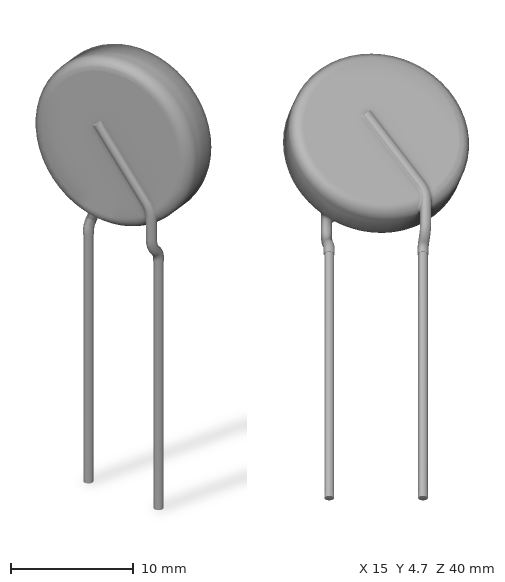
import cadquery as cq
import math

DISC_DIAMETER = 15.0
DISC_THICKNESS = 4.2
DISC_EDGE_RADIUS = 1.0

OVERALL_DEPTH = 4.7
OVERALL_HEIGHT = 40.0
LEAD_BOTTOM_Z = DISC_DIAMETER / 2 - OVERALL_HEIGHT

COATED_DIAMETER = 0.9
BARE_DIAMETER = 0.8
LEAD_PITCH = 7.5
LEAD_X = LEAD_PITCH / 2
UPPER_WIRE_Y = -(OVERALL_DEPTH - COATED_DIAMETER) / 2
LOWER_WIRE_Y = -0.75

SLANT_ANGLE = math.radians(37.0)
SLANT_LENGTH = 8.25
SLANT_CORNER_Z = -5.05
SLANT_BEND_RADIUS = 2.2

OFFSET_TOP_Z = -7.7
OFFSET_HEIGHT = 2.25
OFFSET_UPPER_SHARE = 0.59
COATING_TAIL = 0.2

COATING_FILLET_RADIUS = 0.2


def make_disc():
    return (
        cq.Workplane("XZ", origin=(0, DISC_THICKNESS / 2, 0))
        .circle(DISC_DIAMETER / 2)
        .extrude(DISC_THICKNESS)
        .edges()
        .fillet(DISC_EDGE_RADIUS)
    )


def make_coated_wire(tip, path):
    """Sweep the coated wire along a path that starts at tip, heading down the slant."""
    heading = cq.Vector(math.sin(SLANT_ANGLE), 0, -math.cos(SLANT_ANGLE))
    start_plane = cq.Plane(origin=tip, xDir=(0, 1, 0), normal=heading)
    return cq.Workplane(start_plane).circle(COATED_DIAMETER / 2).sweep(path)


def slant_point(distance):
    """Point on the slanted axis at a distance from the sharp corner of the bend."""
    return cq.Vector(
        LEAD_X - distance * math.sin(SLANT_ANGLE),
        UPPER_WIRE_Y,
        SLANT_CORNER_Z + distance * math.cos(SLANT_ANGLE),
    )


def make_lead():
    """Front lead: slanted stretch, bend, S-shaped offset and straight bare leg."""
    tip = slant_point(SLANT_LENGTH)
    bend_tangent = SLANT_BEND_RADIUS * math.tan(SLANT_ANGLE / 2)
    bend_start = slant_point(bend_tangent)
    bend_end = cq.Vector(LEAD_X, UPPER_WIRE_Y, SLANT_CORNER_Z - bend_tangent)
    slant_direction = bend_start - tip

    offset_top = cq.Vector(LEAD_X, UPPER_WIRE_Y, OFFSET_TOP_Z)
    offset_bottom = cq.Vector(LEAD_X, LOWER_WIRE_Y, OFFSET_TOP_Z - OFFSET_HEIGHT)
    offset_middle = offset_top + (offset_bottom - offset_top) * OFFSET_UPPER_SHARE
    turn_angle = 2 * math.atan2(LOWER_WIRE_Y - UPPER_WIRE_Y, OFFSET_HEIGHT)
    down = cq.Vector(0, 0, -1)
    inward = cq.Vector(0, math.sin(turn_angle), -math.cos(turn_angle))
    coating_end = offset_bottom + down * COATING_TAIL

    path = cq.Wire.assembleEdges([
        cq.Edge.makeLine(tip, bend_start),
        cq.Edge.makeTangentArc(bend_start, slant_direction, bend_end),
        cq.Edge.makeLine(bend_end, offset_top),
        cq.Edge.makeTangentArc(offset_top, down, offset_middle),
        cq.Edge.makeTangentArc(offset_middle, inward, offset_bottom),
        cq.Edge.makeLine(offset_bottom, coating_end),
    ])
    coated_wire = make_coated_wire(tip, path)

    bare_leg = (
        cq.Workplane("XY", origin=coating_end.toTuple())
        .circle(BARE_DIAMETER / 2)
        .extrude(LEAD_BOTTOM_Z - coating_end.z)
    )
    return coated_wire.union(bare_leg)


def blend_wires_into_disc(part):
    """Concave coating fillet around both wires where they rise from the disc.

    The straight edges of the flat disc faces are the wire outlines; the fillet
    runs on from them along the tangent edges, round the bend and over the rim.
    """
    return part.faces("|Y").edges("%LINE").fillet(COATING_FILLET_RADIUS)


front_lead = make_lead()
back_lead = front_lead.rotate((0, 0, 0), (0, 0, 1), 180)
result = blend_wires_into_disc(make_disc().union(front_lead).union(back_lead))